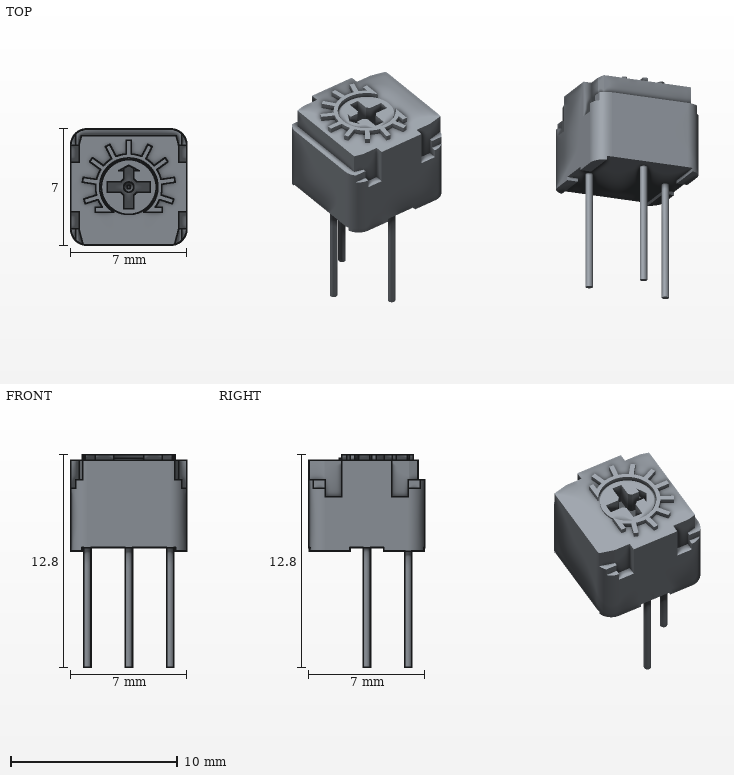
import cadquery as cq

side = 7.0
half_side = side / 2
corner_radius = 1.0
pin_length = 7.0
underside_z = pin_length + 0.2
ledge_z = 11.3
corner_step_z = 10.79
notch_floor_z = 10.28
housing_top_z = 12.48
total_height = 12.8

waist_half_x = 3.0
taper_end_half_x = 2.75
corner_start_y = half_side - corner_radius
taper_start_y = 2.53
top_back_y = 3.08
notch_inner_y = 1.5
corner_step_x = 3.2

lengthwise_channel = 5.6
crosswise_channel = 2.02

pin_diameter = 0.45
pin_pitch = 2.5
pin_embedding = 0.13
pin_places = [(-pin_pitch, 0), (pin_pitch, 0), (0, pin_pitch)]

ring_outer_radius = 2.0
ring_inner_radius = 1.75
tick_tip_radius = 2.8
tick_width = 0.3
tick_step = 27
ticks_per_side = 4
end_bar_bottom_y = -1.51
end_bar_outer_x = 2.01

rotor_diameter = 3.3
rotor_top_z = 12.6
slot_reach = 1.3
slot_half_width = 0.31
slot_chamfer = 0.18
slot_depth = 1.5
arrow_base_y = 0.97
arrow_half_width = 0.61
arrow_depth = 0.6
dimple_bottom_radius = 0.1
dimple_depth = 0.2


def block(x_min, x_max, y_min, y_max, z_min, z_max):
    """Box between two opposite corners."""
    size = (x_max - x_min, y_max - y_min, z_max - z_min)
    return cq.Workplane("XY").box(*size, centered=False).translate((x_min, y_min, z_min))


def slab(z_min, z_max):
    """Layer of the rounded square housing between two heights."""
    layer = cq.Workplane("XY").workplane(offset=z_min).rect(side, side).extrude(z_max - z_min)
    return layer.edges("|Z").fillet(corner_radius)


def tapered_top():
    """Upper part of the housing: narrower towards the front and back, cut short at the back."""
    slope = (waist_half_x - taper_end_half_x) / (half_side - taper_start_y)
    back_half_x = waist_half_x - slope * (top_back_y - taper_start_y)
    right_side = [
        (taper_end_half_x, -half_side),
        (waist_half_x, -taper_start_y),
        (waist_half_x, -corner_start_y),
        (half_side, -corner_start_y),
        (half_side, corner_start_y),
        (waist_half_x, corner_start_y),
        (waist_half_x, taper_start_y),
        (back_half_x, top_back_y),
    ]
    left_side = [(-x, y) for x, y in reversed(right_side)]
    outline = cq.Workplane("XY").workplane(offset=ledge_z).polyline(right_side + left_side).close()
    return outline.extrude(housing_top_z - ledge_z).intersect(slab(ledge_z, housing_top_z))


def housing():
    body = slab(pin_length, ledge_z).union(tapered_top())
    corner_step = block(
        corner_step_x, half_side, corner_start_y, half_side, corner_step_z, housing_top_z
    )
    notch = block(
        waist_half_x, half_side, notch_inner_y, corner_start_y, notch_floor_z, housing_top_z
    )
    corner_cut = corner_step.union(notch)
    right_cuts = corner_cut.union(corner_cut.mirror("XZ"))
    body = body.cut(right_cuts).cut(right_cuts.mirror("YZ"))

    half_length = lengthwise_channel / 2
    half_cross = crosswise_channel / 2
    body = body.cut(block(-half_length, half_length, -half_side, half_side, pin_length, underside_z))
    return body.cut(block(-half_side, half_side, -half_cross, half_cross, pin_length, underside_z))


def pins():
    full_length = underside_z + pin_embedding
    return cq.Workplane("XY").pushPoints(pin_places).circle(pin_diameter / 2).extrude(full_length)


def scale_ring():
    """Raised ring, open at the front, with radial ticks and a straight bar at each end."""
    height = total_height - housing_top_z
    base = cq.Workplane("XY").workplane(offset=housing_top_z)
    ring = base.circle(ring_outer_radius).extrude(height)

    end_bar_top_y = end_bar_bottom_y + tick_width
    open_front = block(
        -half_side, half_side, -half_side, end_bar_bottom_y, housing_top_z, total_height
    )
    bars = block(
        -end_bar_outer_x, end_bar_outer_x, end_bar_bottom_y, end_bar_top_y, housing_top_z, total_height
    )
    tick = block(
        -tick_width / 2, tick_width / 2, 0, tick_tip_radius, housing_top_z, total_height
    )
    ring = ring.cut(open_front).union(bars)
    for step in range(-ticks_per_side, ticks_per_side + 1):
        ring = ring.union(tick.rotate((0, 0, 0), (0, 0, 1), step * tick_step))
    return ring.cut(base.circle(ring_inner_radius).extrude(height))


def rotor():
    height = rotor_top_z - housing_top_z
    return cq.Workplane("XY").workplane(offset=housing_top_z).circle(rotor_diameter / 2).extrude(height)


def screwdriver_slot():
    """Cross slot with an arrow-shaped rear arm and a conical dimple in its floor."""
    floor_z = rotor_top_z - slot_depth
    bend = slot_half_width + slot_chamfer
    arrow_slope = (slot_reach - arrow_base_y) / arrow_half_width
    shoulder_y = slot_reach - arrow_slope * slot_half_width
    right_side = [
        (slot_half_width, -slot_reach),
        (slot_half_width, -bend),
        (bend, -slot_half_width),
        (slot_reach, -slot_half_width),
        (slot_reach, slot_half_width),
        (bend, slot_half_width),
        (slot_half_width, bend),
        (slot_half_width, shoulder_y),
    ]
    left_side = [(-x, y) for x, y in reversed(right_side)]
    tip = (0, slot_reach)
    outline = cq.Workplane("XY").workplane(offset=floor_z).polyline(right_side + [tip] + left_side)
    cross = outline.close().extrude(slot_depth)

    arrow_points = [(-arrow_half_width, arrow_base_y), (arrow_half_width, arrow_base_y), tip]
    arrow_plane = cq.Workplane("XY").workplane(offset=rotor_top_z - arrow_depth)
    arrow = arrow_plane.polyline(arrow_points).close().extrude(arrow_depth)

    dimple = cq.Workplane(
        cq.Solid.makeCone(
            dimple_bottom_radius, slot_half_width, dimple_depth, pnt=cq.Vector(0, 0, floor_z - dimple_depth)
        )
    )
    return cross.union(arrow).union(dimple)


result = housing().union(pins()).union(scale_ring()).union(rotor()).cut(screwdriver_slot())